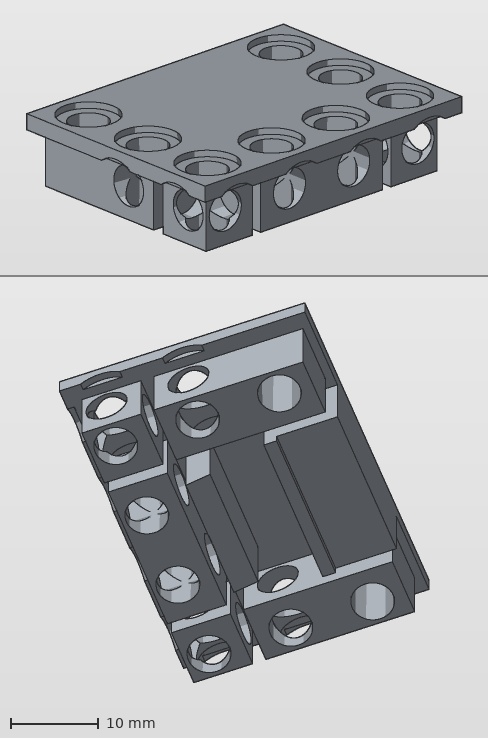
import cadquery as cq

plate_x = 30.0
plate_y = 40.0
plate_thick = 2.0

pitch = 10.0
hole_diameter = 5.0
recess_diameter = 7.7
recess_depth = 0.8
column_x = [pitch / 2 + i * pitch for i in range(3)]
row_y = [(i - 1.5) * pitch for i in range(4)]
side_hole_z = -pitch / 2

block_bottom = -9.2
outer_reach = 3.0
inner_reach = 4.2
row_start_x = 1.0
row_end_x = column_x[1] + inner_reach
column_start_x = column_x[2] - inner_reach
column_end_x = column_x[2] + outer_reach
block_outer_y = row_y[3] + outer_reach
block_inner_y = row_y[3] - inner_reach

middle_y = 19.0
base_bottom = -8.9
rib_start_x = 7.45
rib_end_x = 9.0
rib_bottom = -9.85
latch_start_x = 16.25
latch_y = 15.45
latch_shallow_z = -9.4
latch_tip_z = -10.1

cut_margin = 0.4


def hanging_block(x0, x1, y0, y1, bottom):
    """Block from the top face of the part down to the given level."""
    block = cq.Workplane("XY").box(x1 - x0, y1 - y0, -bottom, centered=False)
    return block.translate((x0, y0, bottom))


def cylinder(diameter, start, direction, length):
    """Cylinder along a direction, from a start point."""
    return cq.Workplane(cq.Solid.makeCylinder(diameter / 2, length, cq.Vector(*start), cq.Vector(*direction)))


def latch():
    """Wall with a sloped lower edge, deepest on its +X side."""
    outline = [
        (latch_start_x, 0),
        (row_end_x, 0),
        (row_end_x, latch_tip_z),
        (latch_start_x, latch_shallow_z),
    ]
    return cq.Workplane("XZ").polyline(outline).close().extrude(latch_y / 2, both=True)


def pin_hole(x, y):
    """Vertical through hole with a shallow recess in the top face."""
    bore = cylinder(hole_diameter, (x, y, cut_margin), (0, 0, -1), cut_margin - latch_tip_z)
    recess = cylinder(recess_diameter, (x, y, -recess_depth), (0, 0, 1), recess_depth + cut_margin)
    return bore.union(recess)


def side_hole(inner_face, plate_edge, outward):
    """Horizontal hole from a block's inner face outward, with a recess notched into the plate edge."""
    direction = (*outward, 0)
    recess_floor = [edge - recess_depth * step for edge, step in zip(plate_edge, outward)]
    bore = cylinder(hole_diameter, (*inner_face, side_hole_z), direction, pitch)
    recess = cylinder(recess_diameter, (*recess_floor, side_hole_z), direction, recess_depth + cut_margin)
    return bore.union(recess)


body = hanging_block(0, plate_x, -plate_y / 2, plate_y / 2, -plate_thick)
for side in (-1, 1):
    near, far = sorted((side * block_inner_y, side * block_outer_y))
    body = body.union(hanging_block(row_start_x, row_end_x, near, far, block_bottom))
    body = body.union(hanging_block(column_start_x, column_end_x, near, far, block_bottom))

middle_half_y = middle_y / 2
body = body.union(hanging_block(0, rib_end_x, -middle_half_y, middle_half_y, base_bottom))
body = body.union(hanging_block(rib_start_x, rib_end_x, -middle_half_y, middle_half_y, rib_bottom))
body = body.union(hanging_block(column_start_x, column_end_x, -middle_half_y, middle_half_y, block_bottom))
body = body.union(latch())

for y in row_y:
    body = body.cut(pin_hole(column_x[2], y))
    body = body.cut(side_hole((column_start_x, y), (plate_x, y), (1, 0)))
for side in (-1, 1):
    hole_y = side * row_y[3]
    inner_y = side * block_inner_y
    edge_y = side * plate_y / 2
    for x in column_x[:2]:
        body = body.cut(pin_hole(x, hole_y))
    for x in column_x[1:]:
        body = body.cut(side_hole((x, inner_y), (x, edge_y), (0, side)))

result = body